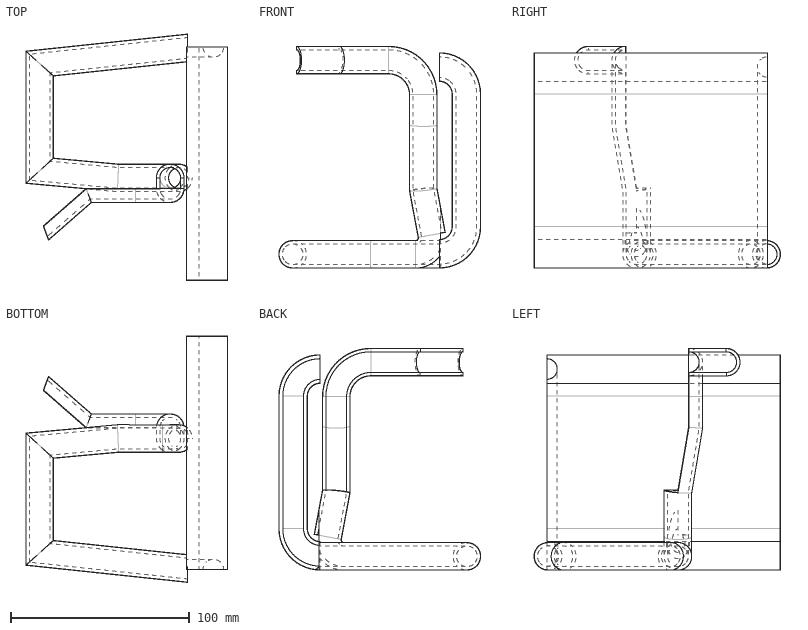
import cadquery as cq
import math

tube_radius = 7.7
wall = 1.9
bore_radius = tube_radius - wall

plate_length = 130.5
plate_height = 120.3
plate_right = 112.7
plate_thickness = 16.0
plate_inner_radius = 7.2
plate_outer_radius = plate_inner_radius + plate_thickness
lip_x = plate_right - plate_outer_radius

loop_z = tube_radius
loop_left_x = tube_radius
loop_end_y = 129.8
loop_back_corner_y = 121.1
loop_front_corner_y = 61.2
loop_bend_x = 51.5
stub_y = 57.2
loop_end_x = 90.4
loop_overrun = 2.8

elbow_corner_x = 87.4
elbow_tangent = 11.0
stub_top_z = 43.9
upright_x = 80.6
upright_y = 51.2
upright_bend_z = 79.8

arm_z = 116.1
arm_bend_radius = 19.3
arm_corner_x = 33.7
tip_run_x = 24.0
tip_run_y = 20.9

trim_size = 550.4


def trim(solid, origin, normal):
    """Remove everything on the side of a plane that its normal points to."""
    plane = cq.Plane(origin=origin.toTuple(), normal=normal.toTuple())
    waste = cq.Workplane(plane).rect(trim_size, trim_size).extrude(trim_size)
    return solid.cut(waste)


def sweep_section(path, normal, radius, half):
    """Sweep a disc, or its half facing -Y, along a path from its start."""
    plane = cq.Plane(
        origin=path.startPoint().toTuple(),
        xDir=(0, -1, 0) if half else None,
        normal=normal.toTuple(),
    )
    section = cq.Workplane(plane)
    if half:
        section = section.moveTo(0, -radius).threePointArc((radius, 0), (0, radius)).close()
    else:
        section = section.circle(radius)
    return section.sweep(cq.Workplane(obj=path), transition="right")


def round_corner(before, corner, after, tangent):
    """Start, middle and end of an arc rounding a corner with equal tangent lengths."""
    toward_before = (before - corner).normalized()
    toward_after = (after - corner).normalized()
    half_angle = toward_before.getAngle(toward_after) / 2
    radius = tangent * math.tan(half_angle)
    middle_distance = tangent / math.cos(half_angle) - radius
    bisector = (toward_before + toward_after).normalized()
    start = corner + toward_before * tangent
    end = corner + toward_after * tangent
    return start, corner + bisector * middle_distance, end


def make_path(points, arc_index, arc_middle):
    """Wire through points; the edge after points[arc_index] is an arc."""
    edges = []
    for i in range(len(points) - 1):
        if i == arc_index:
            edges.append(cq.Edge.makeThreePointArc(points[i], arc_middle, points[i + 1]))
        else:
            edges.append(cq.Edge.makeLine(points[i], points[i + 1]))
    return cq.Wire.assembleEdges(edges)


loop_anchor = cq.Vector(lip_x, loop_end_y, loop_z)
loop_back = cq.Vector(loop_left_x, loop_back_corner_y, loop_z)
loop_front = cq.Vector(loop_left_x, loop_front_corner_y, loop_z)
loop_bend = cq.Vector(loop_bend_x, stub_y, loop_z)
elbow_corner = cq.Vector(elbow_corner_x, stub_y, loop_z)
stub_top = cq.Vector(upright_x, stub_y, stub_top_z)
upright_bend = cq.Vector(upright_x, upright_y, upright_bend_z)
arm_bend = cq.Vector(upright_x, upright_y, arm_z)
arm_corner = cq.Vector(arm_corner_x, upright_y, arm_z)
tip = arm_corner - cq.Vector(tip_run_x, tip_run_y, 0)

elbow_start, elbow_middle, elbow_end = round_corner(loop_bend, elbow_corner, stub_top, elbow_tangent)
arc_start, arc_middle, arc_end = round_corner(upright_bend, arm_bend, arm_corner, arm_bend_radius)

loop_direction = (loop_back - loop_anchor).normalized()
stub_direction = (stub_top - elbow_end).normalized()
lean_direction = (upright_bend - stub_top).normalized()
tip_direction = (tip - arm_corner).normalized()


def full_tube(radius):
    """Loop, elbow and stub, ended at the plate lip and at the stub's mitre plane."""
    start = loop_anchor - loop_direction * loop_overrun
    end = stub_top + stub_direction * tube_radius
    points = [start, loop_back, loop_front, loop_bend, elbow_start, elbow_end, end]
    solid = sweep_section(make_path(points, 4, elbow_middle), loop_direction, radius, False)
    solid = trim(solid, cq.Vector(loop_end_x, 0, 0), cq.Vector(1, 0, 0))
    return trim(solid, stub_top, stub_direction + lean_direction)


def half_tube(radius):
    """Front half of the stub carried on up the upright and along the arm."""
    end = tip + tip_direction * tube_radius
    points = [elbow_end, stub_top, upright_bend, arc_start, arc_end, arm_corner, end]
    solid = sweep_section(make_path(points, 3, arc_middle), stub_direction, radius, True)
    mitre_normal = tip_direction + cq.Vector(-1, 0, 0)
    return trim(solid, tip, mitre_normal)


def c_plate():
    """Extruded C profile with a half-round channel along its back end face."""
    back_plane = cq.Plane(origin=(0, plate_length, 0), xDir=(1, 0, 0), normal=(0, -1, 0))

    def c_line(inset):
        """Solid outline of the C, inset from its outer faces."""
        radius = plate_outer_radius - inset
        diagonal = radius * math.sqrt(0.5)
        low_z = plate_outer_radius
        high_z = plate_height - plate_outer_radius
        return (
            cq.Workplane(back_plane)
            .moveTo(lip_x, inset)
            .threePointArc((lip_x + diagonal, low_z - diagonal), (lip_x + radius, low_z))
            .lineTo(lip_x + radius, high_z)
            .threePointArc((lip_x + diagonal, high_z + diagonal), (lip_x, plate_height - inset))
        )

    outer = c_line(0).close().extrude(plate_length)
    opening = c_line(plate_thickness).close().extrude(plate_length)
    channel_path = c_line(plate_thickness / 2).wire()
    channel = (
        cq.Workplane("YZ", origin=(lip_x, plate_length, plate_thickness / 2))
        .circle(bore_radius)
        .sweep(channel_path)
    )
    return outer.cut(opening).cut(channel)


tubes = full_tube(tube_radius).union(half_tube(tube_radius))
tubes = tubes.cut(full_tube(bore_radius)).cut(half_tube(bore_radius))
result = c_plate().union(tubes)